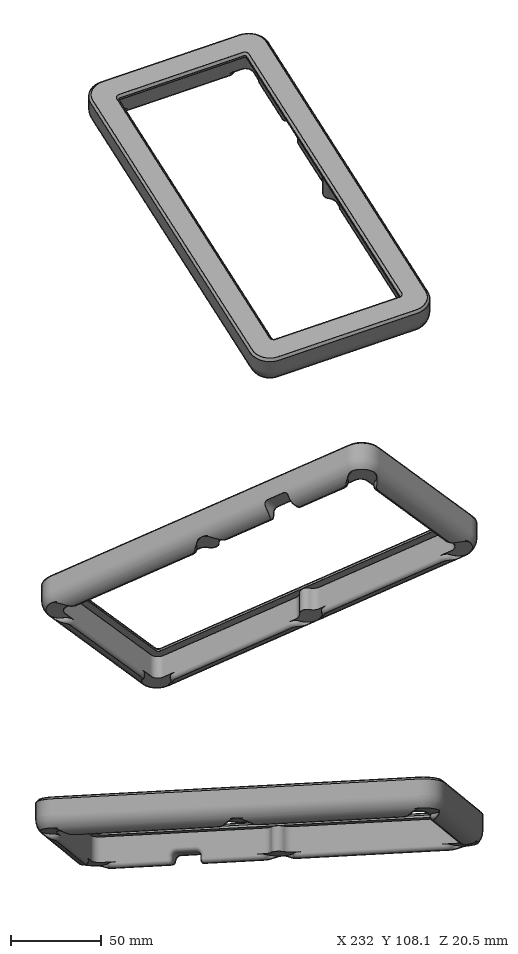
import cadquery as cq
length = 232
width = 108.1
height = 20.5
corner_radius = 12.0
base_round = 9.7
top_chamfer = 1.5

wall = 10.7
inner_corner_radius = 4.9
inner_base_round = 2.3

lip_overhang = 4.6
lip_thickness = 2.8
lip_corner_radius = 1.2

boss_radius = 4.5
boss_blend_radius = 5.5

recess_radius = 8.1
recess_depth = 3.2
recess_blend_radius = 5.0

slot_center_x = -53.0
slot_width = 16.0
slot_height = 7.0
slot_corner_radius = 2.5

hollow_length = length - 2 * wall
hollow_width = width - 2 * wall
hollow_height = height - lip_thickness
wall_face_y = hollow_width / 2

pick_margin = 0.2


def rounded_block(size_x, size_y, size_z, radius):
    """Block standing on the base plane, centred on Z, with rounded upright edges."""
    block = cq.Workplane("XY").rect(size_x, size_y).extrude(size_z)
    return block.edges("|Z").fillet(radius)


def edges_within(low_corner, high_corner):
    """Selector for the edges that lie completely inside a box, with a small margin."""
    low = tuple(value - pick_margin for value in low_corner)
    high = tuple(value + pick_margin for value in high_corner)
    return cq.selectors.BoxSelector(low, high, boundingbox=True)


def outer_body():
    """Frame block with a rounded base and a window whose top edge is chamfered like the outside."""
    body = rounded_block(length, width, height, corner_radius)
    body = body.faces("<Z").edges().fillet(base_round)
    window = rounded_block(
        hollow_length - 2 * lip_overhang,
        hollow_width - 2 * lip_overhang,
        height,
        lip_corner_radius,
    )
    return body.cut(window).faces(">Z").edges().chamfer(top_chamfer)


def boss():
    """Half-round boss on the +Y wall, blended into it by a concave arc on each side."""
    center_distance = boss_radius + boss_blend_radius
    half_span = (center_distance**2 - boss_blend_radius**2) ** 0.5
    joint_y = wall_face_y - boss_blend_radius * boss_radius / center_distance
    root_y = wall_face_y + wall / 2
    base = cq.Workplane("XY").workplane(offset=recess_depth)
    boss_height = hollow_height - recess_depth

    shoulder = base.center(0, (joint_y + root_y) / 2).rect(2 * half_span, root_y - joint_y).extrude(boss_height)
    blend_centers = [(side * half_span, wall_face_y - boss_blend_radius) for side in (-1, 1)]
    blends = base.pushPoints(blend_centers).circle(boss_blend_radius).extrude(boss_height)
    post = base.center(0, wall_face_y).circle(boss_radius).extrude(boss_height)
    return shoulder.cut(blends).union(post)


def cable_slot():
    block = cq.Workplane("XY").box(slot_width, 4 * wall, slot_height, centered=(True, True, False))
    block = block.edges("|Y and >Z").fillet(slot_corner_radius)
    return block.translate((slot_center_x, width / 2, 0))


def base_layer():
    """Lowest layer of the hollow: its outline joined with the round recesses, meeting in soft corners."""
    centers = [(x, y) for x in (-hollow_length / 2, 0, hollow_length / 2) for y in (-wall_face_y, wall_face_y)]
    recesses = cq.Workplane("XY").pushPoints(centers).circle(recess_radius).extrude(recess_depth)
    layer = rounded_block(hollow_length, hollow_width, recess_depth, inner_corner_radius).union(recesses)
    return layer.edges("|Z").fillet(recess_blend_radius)


def hollow():
    """Space to remove under the lip, flared at the slot mouth and where it meets the base plane."""
    space = rounded_block(hollow_length, hollow_width, hollow_height, inner_corner_radius)
    space = space.union(cable_slot())
    slot_mouth = edges_within(
        (slot_center_x - slot_width / 2, wall_face_y, 0),
        (slot_center_x + slot_width / 2, wall_face_y, slot_height),
    )
    space = space.edges(slot_mouth).fillet(inner_base_round)
    space = space.cut(boss()).cut(boss().mirror("XZ"))
    space = space.union(base_layer())

    slab = cq.Workplane("XY").rect(2 * length, 2 * width).extrude(-wall)
    rim = edges_within((-length / 2, -width, 0), (length / 2, width - wall, 0))
    return space.union(slab).edges(rim).fillet(inner_base_round)


result = outer_body().cut(hollow())